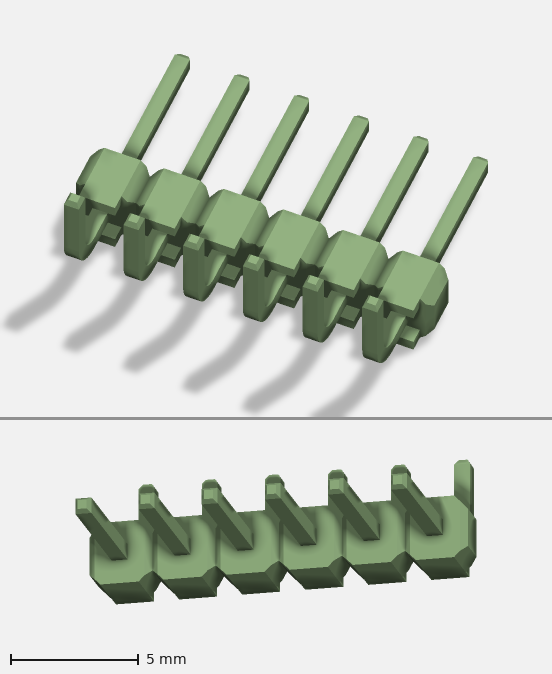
import cadquery as cq


row_length = 15.24
pin_count = 6
pitch = row_length / pin_count

cell_height = pitch
cell_depth = 1.9
edge_bevel = 0.5
corner_bevel = 0.26
foot_length = pitch - cell_depth
foot_thickness = edge_bevel
foot_width = pitch - 2 * edge_bevel

pin_size = 0.64
total_depth = 11.22
total_height = 5.55
inner_bend_radius = 1.0
outer_bend_radius = inner_bend_radius + pin_size
tip_length = 0.21
tip_inset = 0.14
tip_size = pin_size - 2 * tip_inset
tail_reach = 6.13

tail_end_y = tail_reach
upright_front_y = tail_reach - total_depth
upright_axis_y = upright_front_y + pin_size / 2
upright_back_y = upright_front_y + pin_size
upright_end_z = total_height - cell_height / 2
bend_center_y = upright_front_y + outer_bend_radius
bend_center_z = -pin_size / 2 + outer_bend_radius

cell_positions = [(i - (pin_count - 1) / 2) * pitch for i in range(pin_count)]


def make_cell(x):
    """One cell: a block beveled along its X sides, with two front feet and a square pin passage."""
    mid_y = -cell_depth / 2
    profile = (
        cq.Workplane("XY")
        .box(pitch, cell_depth, cell_height)
        .edges("|Y")
        .chamfer(edge_bevel)
    )
    plan = (
        cq.Workplane("XY")
        .box(pitch, cell_depth, cell_height)
        .edges("|Z")
        .chamfer(corner_bevel)
    )
    cell = profile.intersect(plan).translate((0, mid_y, 0))

    foot_z = (cell_height - foot_thickness) / 2
    foot_y = -cell_depth - foot_length / 2
    for side in (-1, 1):
        foot = cq.Workplane("XY").box(foot_width, foot_length, foot_thickness)
        cell = cell.union(foot.translate((0, foot_y, side * foot_z)))

    passage = cq.Workplane("XY").box(pin_size, cell_depth, pin_size).translate((0, mid_y, 0))
    return cell.cut(passage).translate((x, 0, 0))


def make_housing():
    """All cells joined side by side into one solid."""
    housing = make_cell(cell_positions[0])
    for x in cell_positions[1:]:
        housing = housing.union(make_cell(x))
    return housing


def make_tip(base_center, direction):
    """Tapered square end of a pin, growing from base_center along direction."""
    base = cq.Plane(origin=base_center, xDir=(1, 0, 0), normal=direction)
    return (
        cq.Workplane(base)
        .rect(pin_size, pin_size)
        .workplane(offset=tip_length)
        .rect(tip_size, tip_size)
        .loft(ruled=True)
    )


def make_pin(x):
    """Square wire with a long horizontal leg, a round bend and an upright leg, tapered at both ends."""
    leg_end_y = tail_end_y - tip_length
    leg_end_z = upright_end_z - tip_length
    pin = (
        cq.Workplane("YZ", origin=(-pin_size / 2, 0, 0))
        .moveTo(leg_end_y, -pin_size / 2)
        .lineTo(leg_end_y, pin_size / 2)
        .lineTo(bend_center_y, pin_size / 2)
        .radiusArc((upright_back_y, bend_center_z), inner_bend_radius)
        .lineTo(upright_back_y, leg_end_z)
        .lineTo(upright_front_y, leg_end_z)
        .lineTo(upright_front_y, bend_center_z)
        .radiusArc((bend_center_y, -pin_size / 2), -outer_bend_radius)
        .close()
        .extrude(pin_size)
    )
    pin = pin.union(make_tip((0, leg_end_y, 0), (0, 1, 0)))
    pin = pin.union(make_tip((0, upright_axis_y, leg_end_z), (0, 0, 1)))
    return pin.translate((x, 0, 0))


housing = make_housing()
pins = [make_pin(x) for x in cell_positions]

result = cq.Compound.makeCompound([housing.solids().val(), *[pin.solids().val() for pin in pins]])